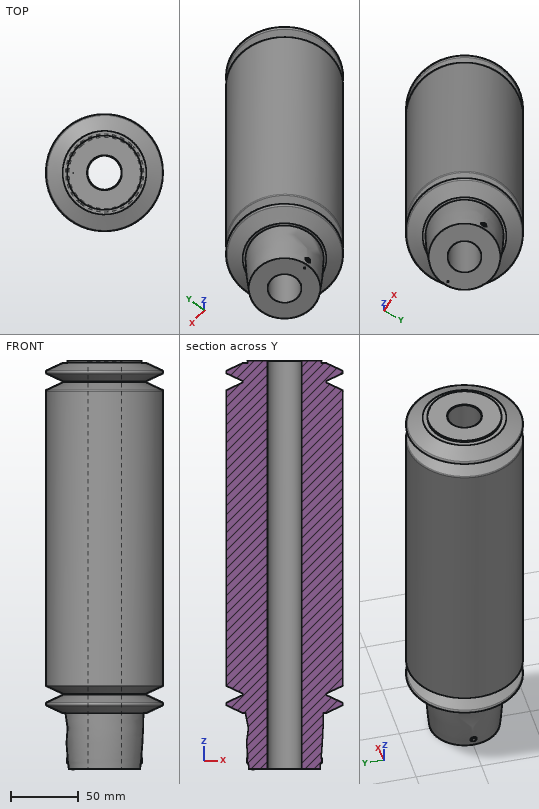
import cadquery as cq
import math

total_length = 302.94
shank_end_z = 0.44
body_diameter = 87.0
root_diameter = 62.0
boss_diameter = 55.0
boss_height = 1.6
bore_diameter = 25.0
bore_chamfer = 0.5

flank_angle = 25.0
rim_width = 1.95
groove_floor_width = 0.8
body_edge_radius = 1.0

shank_length = 41.4
shank_top_diameter = 58.0
shank_middle_diameter = 56.6
shank_end_diameter = 53.0

pin_diameter = 5.0
pin_chamfer = 0.9
pin_height = 6.8
pin_span = 55.8
nub_diameter = 1.0
nub_offset = 23.3

body_radius = body_diameter / 2
root_radius = root_diameter / 2
boss_radius = boss_diameter / 2
flank_slope = math.radians(flank_angle)
flank_height = (body_radius - root_radius) * math.tan(flank_slope)
half_turn_angle = (math.pi / 2 - flank_slope) / 2
lower_shoulder_z = shank_end_z + shank_length
upper_shoulder_z = total_length - boss_height
body_middle_z = (lower_shoulder_z + upper_shoulder_z) / 2
shank_middle_z = shank_end_z + shank_length / 2


def add_collar(outline, shoulder_z, inward):
    """
    Continue an outline along one grooved collar, from its end shoulder to the side of the body.

    Heights count from the shoulder towards the middle of the part; inward is +1 (up) or -1 (down).
    """

    def point(radius, height):
        return radius, shoulder_z + inward * height

    rim_start = flank_height
    rim_end = rim_start + rim_width
    floor_start = rim_end + flank_height
    floor_end = floor_start + groove_floor_width
    body_edge = floor_end + flank_height

    rim_setback = rim_width / 2
    rim_tangent_radius = body_radius - rim_setback * math.cos(flank_slope)
    rim_tangent_drop = rim_setback * math.sin(flank_slope)

    edge_setback = body_edge_radius * math.tan(half_turn_angle)
    edge_center_radius = body_radius - body_edge_radius
    edge_center_height = body_edge + edge_setback
    edge_start = point(
        body_radius - edge_setback * math.cos(flank_slope),
        body_edge - edge_setback * math.sin(flank_slope),
    )
    edge_middle = point(
        edge_center_radius + body_edge_radius * math.cos(half_turn_angle),
        edge_center_height - body_edge_radius * math.sin(half_turn_angle),
    )

    return (
        outline.lineTo(*point(root_radius, 0))
        .lineTo(*point(rim_tangent_radius, rim_start - rim_tangent_drop))
        .threePointArc(
            point(body_radius, rim_start + rim_setback),
            point(rim_tangent_radius, rim_end + rim_tangent_drop),
        )
        .lineTo(*point(root_radius, floor_start))
        .lineTo(*point(root_radius, floor_end))
        .lineTo(*edge_start)
        .threePointArc(edge_middle, point(body_radius, edge_center_height))
    )


def revolve_outline(outline):
    """Turn a closed half outline, radius against height, a full turn about the Z axis."""
    return outline.close().revolve(360, (0, 0, 0), (0, 1, 0))


def make_lower_half():
    """Barrelled shank, lower collar and lower half of the body."""
    outline = (
        cq.Workplane("XZ")
        .moveTo(0, shank_end_z)
        .lineTo(shank_end_diameter / 2, shank_end_z)
        .threePointArc(
            (shank_middle_diameter / 2, shank_middle_z),
            (shank_top_diameter / 2, lower_shoulder_z),
        )
    )
    outline = add_collar(outline, lower_shoulder_z, 1)
    return revolve_outline(outline.lineTo(body_radius, body_middle_z).lineTo(0, body_middle_z))


def make_upper_half():
    """Top boss, upper collar and upper half of the body."""
    outline = (
        cq.Workplane("XZ")
        .moveTo(0, total_length)
        .lineTo(boss_radius, total_length)
        .lineTo(boss_radius, upper_shoulder_z)
    )
    outline = add_collar(outline, upper_shoulder_z, -1)
    return revolve_outline(outline.lineTo(body_radius, body_middle_z).lineTo(0, body_middle_z))


def make_side_pins():
    """Bar along X whose chamfered ends stand slightly proud of the shank on both sides."""
    return (
        cq.Workplane("YZ")
        .center(0, pin_height)
        .circle(pin_diameter / 2)
        .extrude(pin_span / 2, both=True)
        .edges()
        .chamfer(pin_chamfer)
    )


def make_nub():
    """Small round nub on the -X side of the shank end face, reaching down to Z = 0."""
    return cq.Workplane("XY").center(-nub_offset, 0).circle(nub_diameter / 2).extrude(shank_middle_z)


def make_bore():
    """Axial through hole with a chamfered upper mouth."""
    bore_radius = bore_diameter / 2
    outline = (
        cq.Workplane("XZ")
        .moveTo(0, 0)
        .lineTo(bore_radius, 0)
        .lineTo(bore_radius, total_length - bore_chamfer)
        .lineTo(bore_radius + bore_chamfer, total_length)
        .lineTo(0, total_length)
    )
    return revolve_outline(outline)


body = make_lower_half().union(make_upper_half())
result = body.union(make_side_pins()).union(make_nub()).cut(make_bore())